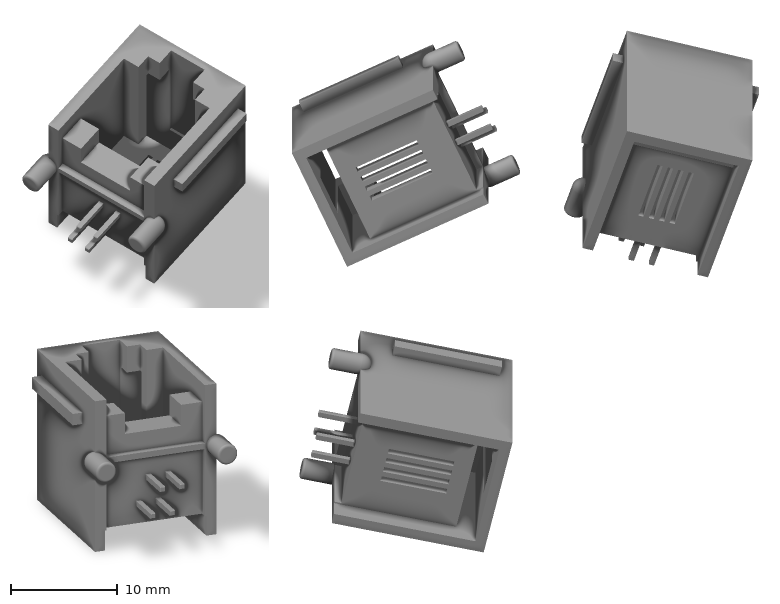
import cadquery as cq


width = 12.25
depth = 14.57
height = 15.13
inner_width = 9.9

latch_width = 3.86
latch_back = 0.75
shoulder_width = 6.53
shoulder_back = 2.58
cavity_back = 4.12
cavity_front = 11.0

channel_width = 10.21
channel_back = 1.02
channel_front = 2.86
channel_top = height - 2.61
underside_height = 1.98
floor_thickness = 1.18
floor_top = underside_height + floor_thickness

front_recess = 0.68
rail_top = height - 5.83
rail_height = 0.58
sill_top = height - 1.91
sill_notch_width = 5.69
sill_notch_bottom = height - 4.0

slot_width = 0.51
slot_pitch = 1.02
slot_back = 4.56
slot_front = 10.86

rib_projection = 1.0
rib_height = 1.14
rib_top = height - 2.25
rib_back = 1.23
rib_length = 10.25

peg_radius = 1.0
peg_length = 2.91
peg_tip_round = 0.25
peg_z = height - 6.12

pin_size = 0.51
pin_length = 2.98
pin_pitch = 0.98
pin_chamfer = 0.05
upper_row_z = height - 8.6
lower_row_z = height - 11.13

contact_count = 4
wall_front = depth - front_recess


def block(x_size, back, front, bottom, top, x_center=0):
    """Box given by distances from the back face (towards -Y) and heights."""
    return (
        cq.Workplane("XY")
        .box(x_size, front - back, top - bottom, centered=(True, False, False))
        .translate((x_center, -front, bottom))
    )


def row_positions(pitch):
    """X positions of the contacts, centred on the symmetry plane."""
    return [(i - (contact_count - 1) / 2) * pitch for i in range(contact_count)]


def cut_cavity(body):
    body = body.cut(block(latch_width, latch_back, cavity_back, floor_top, height))
    body = body.cut(block(shoulder_width, shoulder_back, cavity_back, floor_top, height))
    return body.cut(block(inner_width, cavity_back, cavity_front, floor_top, height))


def cut_front(body):
    rail_bottom = rail_top - rail_height
    body = body.cut(block(inner_width, cavity_front, depth, sill_top, height))
    body = body.cut(block(sill_notch_width, cavity_front, depth, sill_notch_bottom, height))
    body = body.cut(block(inner_width, wall_front, depth, rail_top, height))
    return body.cut(block(inner_width, wall_front, depth, 0, rail_bottom))


def cut_insert_channel(body):
    body = body.cut(block(channel_width, channel_back, channel_front, 0, channel_top))
    return body.cut(block(channel_width, channel_back, depth, 0, underside_height))


def cut_contact_slots(body):
    for x in row_positions(slot_pitch):
        body = body.cut(block(slot_width, slot_back, slot_front, 0, floor_top, x))
    return body


def make_peg(side):
    """Round peg along -Y with a domed back end and a rounded tip."""
    tip_round_start = peg_length - peg_tip_round
    half_profile = (
        cq.Workplane("XY")
        .moveTo(0, peg_radius)
        .radiusArc((peg_radius, 0), peg_radius)
        .lineTo(peg_radius, -tip_round_start)
        .radiusArc((peg_radius - peg_tip_round, -peg_length), peg_tip_round)
        .lineTo(0, -peg_length)
        .close()
    )
    peg = half_profile.revolve(360, (0, 0, 0), (0, 1, 0))
    return peg.translate((side * width / 2, -depth, peg_z))


def make_pin(x, z):
    bottom = z - pin_size / 2
    pin = block(pin_size, wall_front, depth + pin_length, bottom, bottom + pin_size, x)
    return pin.faces("<Y").chamfer(pin_chamfer)


housing = block(width, 0, depth, 0, height)
housing = cut_cavity(housing)
housing = cut_front(housing)
housing = cut_insert_channel(housing)
housing = cut_contact_slots(housing)

rib_width = width + 2 * rib_projection
ribs = block(rib_width, rib_back, rib_back + rib_length, rib_top - rib_height, rib_top)
ribs = ribs.cut(block(width, 0, depth, 0, height))
result = housing.union(ribs)

for side in (-1, 1):
    result = result.union(make_peg(side))

for i, x in enumerate(row_positions(pin_pitch)):
    result = result.union(make_pin(x, upper_row_z if i % 2 else lower_row_z))